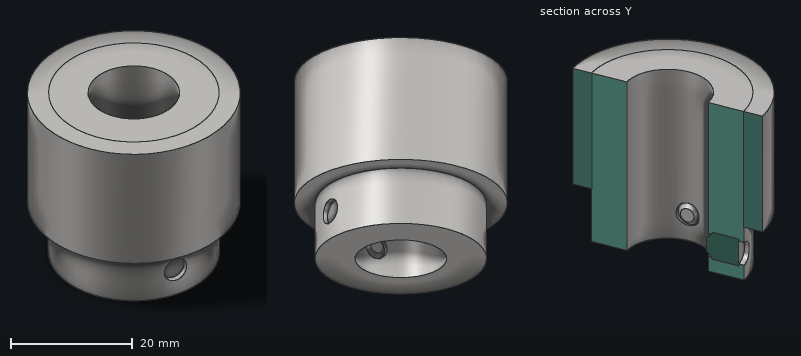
import cadquery as cq

total_height = 32.0
bore_diameter = 15.0
hub_diameter = 28.0
collar_diameter = 28.2
collar_height = 10.0

sleeve_diameter = 35.0
sleeve_height = total_height - collar_height

screw_angles = (0.0, 90.0)
screw_height = collar_height / 2
tap_hole_diameter = 4.2
screw_diameter = 5.0
screw_length = 6.0
screw_tip_diameter = 2.5
screw_tip_chamfer = (screw_diameter - screw_tip_diameter) / 2
screw_tip_protrusion = 0.41
screw_inner_end = bore_diameter / 2 - screw_tip_protrusion


def cylinder(diameter, height, base_z):
    return cq.Workplane("XY").workplane(offset=base_z).circle(diameter / 2).extrude(height)


def radial_cylinder(diameter, start, length):
    """Cylinder along +X at the screw height, starting at the given distance from the Z axis."""
    return cq.Workplane("YZ", origin=(start, 0, screw_height)).circle(diameter / 2).extrude(length)


def turn_about_axis(body, angle):
    return body.rotate((0, 0, 0), (0, 0, 1), angle)


def make_set_screw(angle):
    screw = radial_cylinder(screw_diameter, screw_inner_end, screw_length)
    screw = screw.edges("<X").chamfer(screw_tip_chamfer)
    return turn_about_axis(screw, angle)


def make_hub(set_screws):
    hub = cylinder(collar_diameter, collar_height, 0)
    hub = hub.union(cylinder(hub_diameter, sleeve_height, collar_height))
    hub = hub.cut(cylinder(bore_diameter, total_height, 0))
    for angle in screw_angles:
        hub = hub.cut(turn_about_axis(radial_cylinder(tap_hole_diameter, 0, collar_diameter), angle))
    for screw in set_screws:
        hub = hub.cut(screw)
    return hub


def make_sleeve():
    sleeve = cylinder(sleeve_diameter, sleeve_height, collar_height)
    return sleeve.cut(cylinder(hub_diameter, sleeve_height, collar_height))


set_screws = [make_set_screw(angle) for angle in screw_angles]
hub = make_hub(set_screws)
sleeve = make_sleeve()

result = cq.Compound.makeCompound([hub.val(), sleeve.val(), *[screw.val() for screw in set_screws]])